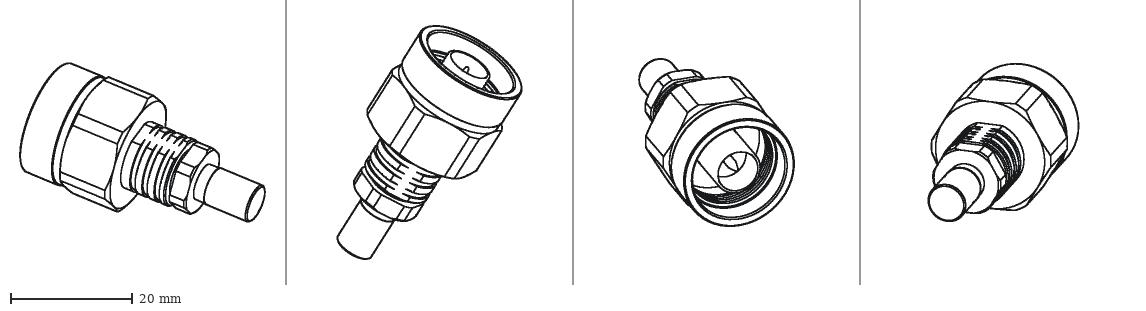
import cadquery as cq
import math


rim_radius = 9.7
rim_length = 6.1
rim_chamfer = 0.2
rim_step_length = 0.1
collar_radius = 9.5
nut_hex_start = 7.55
nut_end = 17.0
nut_flats = 19.0
nut_corner_radius = 10.4
nut_corner_chamfer_length = 0.5
nut_end_radius = 9.5

mouth_radius = 8.12
mouth_chamfer = 0.27
lead_in_start = 4.0
lead_in_length = 0.2
lead_in_radius = 7.95
first_crest = 4.47
thread_pitch = 0.7
thread_turns = 6
thread_crest_radius = 7.5
thread_root_radius = mouth_radius
relief_radius = 7.9
nut_floor = 11.78

sleeve_start = 0.65
sleeve_radius = 3.95
sleeve_bore_radius = 3.5
sleeve_edge_round = 0.2
sleeve_floor = 6.28
pin_start = 1.15
pin_tip_radius = 0.3
pin_radius = 0.8
pin_taper_length = 2.15

barrel_radius = 5.907
barrel_flats = 11.0
barrel_end = 25.3
barrel_chamfer = 0.25
groove_radius = 5.555
groove_width = 1.0
groove_pitch = 2.28
groove_count = 3
first_groove_start = 18.72

neck_radius = 4.25
rear_hex_start = 26.18
rear_hex_end = 29.2
rear_hex_flats = barrel_flats
rear_hex_corner_radius = barrel_radius
rear_hex_chamfer_length = 0.35
rear_hex_end_radius = 5.6
tube_neck_radius = 3.15
tube_start = 31.2
tube_radius = 3.25
tube_chamfer = 0.25
total_length = 39.25


def revolved(profile):
    """Solid of revolution about X from (x, radius) points; the axis closes the outline."""
    first_x = profile[0][0]
    last_x = profile[-1][0]
    outline = [(first_x, 0), *profile, (last_x, 0)]
    return cq.Workplane("XY").polyline(outline).close().revolve(360, (0, 0, 0), (1, 0, 0))


def cylinder(start, end, radius):
    return revolved([(start, radius), (end, radius)])


def hex_bar(start, end, across_flats):
    """Hexagonal bar along X with flats facing +Z and -Z."""
    across_corners = across_flats / math.cos(math.pi / 6)
    return cq.Workplane("YZ", origin=(start, 0, 0)).polygon(6, across_corners).extrude(end - start)


def make_nut_cavity():
    """Mouth, V-shaped thread rings and a plain relief behind the thread."""
    profile = [
        (0, mouth_radius + mouth_chamfer),
        (mouth_chamfer, mouth_radius),
        (lead_in_start, mouth_radius),
        (lead_in_start + lead_in_length, lead_in_radius),
    ]
    for turn in range(thread_turns):
        crest = first_crest + turn * thread_pitch
        profile.append((crest, thread_crest_radius))
        profile.append((crest + thread_pitch / 2, thread_root_radius))
    flank_slope = (thread_root_radius - thread_crest_radius) / (thread_pitch / 2)
    last_root = profile[-1][0]
    relief_start = last_root + (thread_root_radius - relief_radius) / flank_slope
    profile.append((relief_start, relief_radius))
    profile.append((nut_floor, relief_radius))
    return revolved(profile)


def make_coupling_nut():
    rim = revolved([
        (0, rim_radius - rim_chamfer),
        (rim_chamfer, rim_radius),
        (rim_length, rim_radius),
        (rim_length + rim_step_length, collar_radius),
        (nut_hex_start, collar_radius),
    ])
    corner_limit = revolved([
        (nut_hex_start, nut_end_radius),
        (nut_hex_start + nut_corner_chamfer_length, nut_corner_radius),
        (nut_end - nut_corner_chamfer_length, nut_corner_radius),
        (nut_end, nut_end_radius),
    ])
    hexagon = hex_bar(nut_hex_start, nut_end, nut_flats).intersect(corner_limit)
    body_hole = cylinder(0, nut_end, sleeve_radius)
    return rim.union(hexagon).cut(make_nut_cavity()).cut(body_hole)


def make_pin():
    """Tapered pin with a domed tip."""
    taper_start = pin_start + pin_tip_radius
    shank = revolved([
        (taper_start, pin_tip_radius),
        (taper_start + pin_taper_length, pin_radius),
        (sleeve_floor, pin_radius),
    ])
    dome = cq.Workplane("XY", origin=(taper_start, 0, 0)).sphere(pin_tip_radius)
    return shank.union(dome)


def make_sleeve():
    """Hollow sleeve that passes through the nut, with the pin standing on its floor."""
    sleeve = cylinder(sleeve_start, nut_end, sleeve_radius)
    sleeve = sleeve.faces("<X").edges().fillet(sleeve_edge_round)
    sleeve_bore = cylinder(sleeve_start, sleeve_floor, sleeve_bore_radius)
    return sleeve.cut(sleeve_bore).union(make_pin())


def make_barrel():
    """Round barrel with ring grooves and two flats; the grooves run out on the flats."""
    barrel = revolved([
        (nut_end, barrel_radius),
        (barrel_end - barrel_chamfer, barrel_radius),
        (barrel_end, barrel_radius - barrel_chamfer),
    ])
    for index in range(groove_count):
        start = first_groove_start + index * groove_pitch
        end = start + groove_width
        ring = cylinder(start, end, barrel_radius).cut(cylinder(start, end, groove_radius))
        barrel = barrel.cut(ring)
    barrel_length = barrel_end - nut_end
    between_flats = cq.Workplane("XY").box(barrel_length, 2 * barrel_radius, barrel_flats)
    return barrel.intersect(between_flats.translate((nut_end + barrel_length / 2, 0, 0)))


def make_rear_hex():
    corner_limit = revolved([
        (rear_hex_start, rear_hex_corner_radius),
        (rear_hex_end - rear_hex_chamfer_length, rear_hex_corner_radius),
        (rear_hex_end, rear_hex_end_radius),
    ])
    return hex_bar(rear_hex_start, rear_hex_end, rear_hex_flats).intersect(corner_limit)


def make_cable_tube():
    return revolved([
        (rear_hex_end, tube_neck_radius),
        (tube_start, tube_neck_radius),
        (tube_start, tube_radius),
        (total_length - tube_chamfer, tube_radius),
        (total_length, tube_radius - tube_chamfer),
    ])


def make_connector_body():
    neck = cylinder(barrel_end, rear_hex_start, neck_radius)
    front = make_sleeve().union(make_barrel())
    rear = make_rear_hex().union(make_cable_tube())
    return front.union(neck).union(rear)


coupling_nut = make_coupling_nut()
connector_body = make_connector_body()

result = cq.Compound.makeCompound([coupling_nut.val(), connector_body.val()])